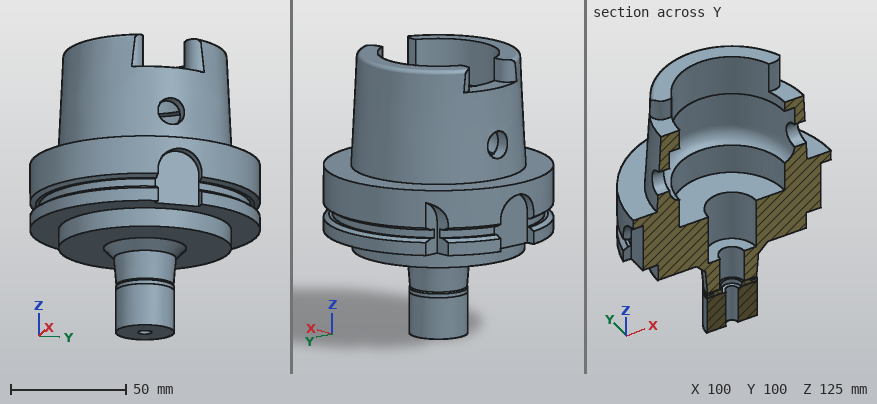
import cadquery as cq
import math

RIM_Z = 125.0
FLANGE_TOP_Z = 75.0
FLANGE_BOTTOM_Z = 46.0
COLLAR_BOTTOM_Z = 37.8
NECK_TOP_Z = 33.2
NECK_BOTTOM_Z = 21.0
RING_SHOULDER_Z = 20.2
NOSE_TOP_Z = 18.5

TAPER_BASE_R = 38.0
TAPER_RATE = 1 / 20
RIM_FILLET = 2.0
FLANGE_R = 50.0
COLLAR_R = 37.5
NECK_CONE_R = 18.0
NECK_TOP_R = 13.5
NECK_BOTTOM_R = 12.5
NOSE_R = 12.8
RING_HUB_R = 9.4

GROOVE_CENTER_Z = 55.0
GROOVE_MOUTH = 6.5
GROOVE_WIDTH = 3.8
GROOVE_FLOOR_R = 46.1
GROOVE_BEVEL = 2.4

BORE_R = 26.5
BORE_BOTTOM_Z = 105.0
UNDERCUT_R = 31.5
UNDERCUT_BOTTOM_Z = 84.2
SHELF_R = 7.5
CAVITY_FLOOR_Z = 62.5
WELL_R = 12.0
WELL_FLOOR_Z = 37.5
HOLDER_HOLE_R = 6.0
RING_HOLE_R = 4.9
NOSE_HOLE_R = 3.0

ACCESS_HOLE_R = 6.0
ACCESS_HOLE_Z = 90.0
SLOT_WIDTH = 20.0
LUG_FILLET = 5.0
LUG_HALF_LENGTH = 32.2
LEFT_SLOT_DEPTH = 10.0
RIGHT_SLOT_DEPTH = 15.0
KEYWAY_WIDTH = 20.0
KEYWAY_TOP_Z = 70.0
KEYWAY_FLOOR_X = 45.0
NOTCH_Y = 41.8
NOTCH_FLOOR_X = 31.8


def revolve(points):
    """Turn a closed (radius, z) outline about the Z axis."""
    return cq.Workplane("XZ").polyline(points).close().revolve(360, (0, 0, 0), (0, 1, 0))


def make_blank():
    """Outside of the holder: taper, flange, collar and neck."""
    rim_r = TAPER_BASE_R - TAPER_RATE * (RIM_Z - FLANGE_TOP_Z)
    blank = revolve([
        (0, RIM_Z),
        (rim_r, RIM_Z),
        (TAPER_BASE_R, FLANGE_TOP_Z),
        (FLANGE_R, FLANGE_TOP_Z),
        (FLANGE_R, FLANGE_BOTTOM_Z),
        (COLLAR_R, FLANGE_BOTTOM_Z),
        (COLLAR_R, COLLAR_BOTTOM_Z),
        (NECK_CONE_R, COLLAR_BOTTOM_Z),
        (NECK_TOP_R, NECK_TOP_Z),
        (NECK_BOTTOM_R, NECK_BOTTOM_Z),
        (0, NECK_BOTTOM_Z),
    ])
    return blank.faces(">Z").edges().fillet(RIM_FILLET)


def make_groove():
    """Ring-shaped cutter for the gripper groove, with a bevelled mouth."""
    bevel_r = FLANGE_R - GROOVE_BEVEL
    half_mouth = GROOVE_MOUTH / 2
    half_width = GROOVE_WIDTH / 2
    return revolve([
        (GROOVE_FLOOR_R, GROOVE_CENTER_Z - half_width),
        (bevel_r, GROOVE_CENTER_Z - half_width),
        (FLANGE_R, GROOVE_CENTER_Z - half_mouth),
        (FLANGE_R, GROOVE_CENTER_Z + half_mouth),
        (bevel_r, GROOVE_CENTER_Z + half_width),
        (GROOVE_FLOOR_R, GROOVE_CENTER_Z + half_width),
    ])


def make_cavity():
    """Everything hollow on the holder's axis."""
    arc_center_r = UNDERCUT_R - SHELF_R
    arc_end = math.acos((BORE_R - arc_center_r) / SHELF_R)
    arc_mid_r = arc_center_r + SHELF_R * math.cos(arc_end / 2)
    arc_mid_z = UNDERCUT_BOTTOM_Z - SHELF_R * math.sin(arc_end / 2)
    arc_end_z = UNDERCUT_BOTTOM_Z - SHELF_R * math.sin(arc_end)
    return (
        cq.Workplane("XZ")
        .moveTo(0, RIM_Z)
        .lineTo(BORE_R, RIM_Z)
        .lineTo(BORE_R, BORE_BOTTOM_Z)
        .lineTo(UNDERCUT_R, BORE_BOTTOM_Z)
        .lineTo(UNDERCUT_R, UNDERCUT_BOTTOM_Z)
        .threePointArc((arc_mid_r, arc_mid_z), (BORE_R, arc_end_z))
        .lineTo(BORE_R, CAVITY_FLOOR_Z)
        .lineTo(WELL_R, CAVITY_FLOOR_Z)
        .lineTo(WELL_R, WELL_FLOOR_Z)
        .lineTo(HOLDER_HOLE_R, WELL_FLOOR_Z)
        .lineTo(HOLDER_HOLE_R, NECK_BOTTOM_Z)
        .lineTo(0, NECK_BOTTOM_Z)
        .close()
        .revolve(360, (0, 0, 0), (0, 1, 0))
    )


def make_access_hole():
    """Hole along X through both walls of the taper."""
    return (
        cq.Workplane("YZ")
        .center(0, ACCESS_HOLE_Z)
        .circle(ACCESS_HOLE_R)
        .extrude(TAPER_BASE_R, both=True)
    )


def make_drive_slot(side, depth):
    """Slot in the rim on one side of X, flaring outward around rounded lug ends."""
    half = SLOT_WIDTH / 2
    corner_y = half + LUG_FILLET
    corner_x = LUG_HALF_LENGTH - LUG_FILLET
    mid = LUG_FILLET * math.sqrt(0.5)
    outer = FLANGE_R
    return (
        cq.Workplane("XY", origin=(0, 0, RIM_Z - depth))
        .moveTo(0, -half)
        .lineTo(side * corner_x, -half)
        .threePointArc(
            (side * (corner_x + mid), -corner_y + mid),
            (side * LUG_HALF_LENGTH, -corner_y),
        )
        .lineTo(side * LUG_HALF_LENGTH, -outer)
        .lineTo(side * outer, -outer)
        .lineTo(side * outer, outer)
        .lineTo(side * LUG_HALF_LENGTH, outer)
        .lineTo(side * LUG_HALF_LENGTH, corner_y)
        .threePointArc(
            (side * (corner_x + mid), corner_y - mid),
            (side * corner_x, half),
        )
        .lineTo(0, half)
        .close()
        .extrude(depth)
    )


def make_keyway(side, center_y, floor_x):
    """Round-topped keyway in the flange, open downward, with a flat floor facing X."""
    radius = KEYWAY_WIDTH / 2
    arch_z = KEYWAY_TOP_Z - radius
    return (
        cq.Workplane("YZ", origin=(side * floor_x, 0, 0))
        .moveTo(center_y - radius, FLANGE_BOTTOM_Z)
        .lineTo(center_y - radius, arch_z)
        .threePointArc((center_y, KEYWAY_TOP_Z), (center_y + radius, arch_z))
        .lineTo(center_y + radius, FLANGE_BOTTOM_Z)
        .close()
        .extrude(side * (FLANGE_R - floor_x))
    )


def make_holder():
    """Tool holder with its cavity, drive slots, keyways and notch."""
    holder = make_blank()
    holder = holder.cut(make_groove())
    holder = holder.cut(make_cavity())
    holder = holder.cut(make_access_hole())
    holder = holder.cut(make_drive_slot(-1, LEFT_SLOT_DEPTH))
    holder = holder.cut(make_drive_slot(1, RIGHT_SLOT_DEPTH))
    for side in (-1, 1):
        holder = holder.cut(make_keyway(side, 0, KEYWAY_FLOOR_X))
    return holder.cut(make_keyway(-1, NOTCH_Y, NOTCH_FLOOR_X))


def make_ring():
    """Spacer ring with a narrow hub that meets the end of the neck."""
    return revolve([
        (RING_HOLE_R, NOSE_TOP_Z),
        (NOSE_R, NOSE_TOP_Z),
        (NOSE_R, RING_SHOULDER_Z),
        (RING_HUB_R, RING_SHOULDER_Z),
        (RING_HUB_R, NECK_BOTTOM_Z),
        (RING_HOLE_R, NECK_BOTTOM_Z),
    ])


def make_nose():
    """Plain cylinder with a through hole."""
    return revolve([
        (NOSE_HOLE_R, 0),
        (NOSE_R, 0),
        (NOSE_R, NOSE_TOP_Z),
        (NOSE_HOLE_R, NOSE_TOP_Z),
    ])


holder = make_holder()
ring = make_ring()
nose = make_nose()

result = cq.Compound.makeCompound([holder.val(), ring.val(), nose.val()])